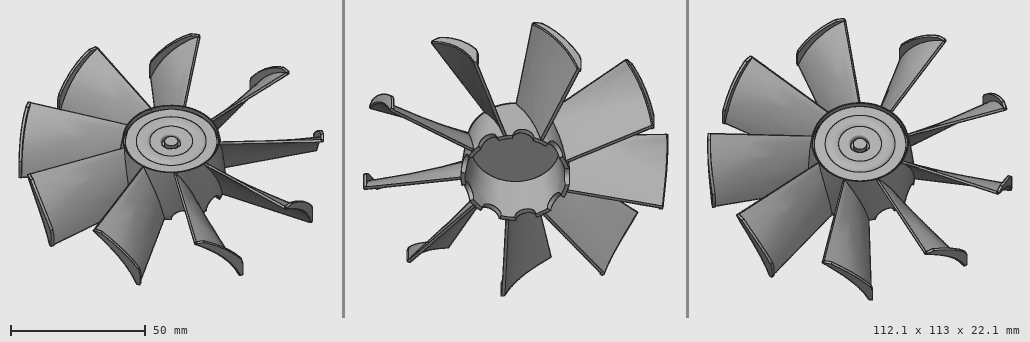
import cadquery as cq

HEIGHT = 22.05
TIP_RADIUS = 56.5
BLADE_COUNT = 9
BLADE_PITCH = 360 / BLADE_COUNT

HUB_TOP_RADIUS = 17.95
HUB_BOTTOM_RADIUS = 20.2
HUB_BAND_HEIGHT = 1.85
HUB_BULGE = 0.25
WALL = 1.5
CAP_RADIUS = 17.0
CAP_RECESS = 1.1
CAP_THICKNESS = 2.5
RIM_RADIUS = 17.65
GROOVE_DEPTH = 1.0
CAP_Z = HEIGHT - CAP_RECESS
CAP_UNDER_Z = CAP_Z - CAP_THICKNESS

RING_INNER_RADIUS = 7.95
RING_OUTER_RADIUS = 12.95
RING_HEIGHT = 0.9
WELL_RADIUS = 3.5
WELL_DEPTH = 2.0
WELL_FILLET = 1.0
PIN_RADIUS = 2.5

NOTCH_RADIUS = 3.9
NOTCH_ANGLE = 32.7
NOTCH_INNER = 10.0

BLADE_BOTTOM = 0.35
BLADE_MID = 11.1
EDGE_BOTTOM = 21.4
ROOT_X = 18.5
TIP_X = 56.0
BLADE_START_X = 14.0
BLADE_END_X = 58.0
LOWER_FACE_Y = ((3.8, 8.0), (0.55, 2.1), (-4.9, -9.4))
UPPER_FACE_Y = ((4.9, 9.2), (1.85, 3.4), (-4.3, -8.7))

WINGLET_THICKNESS = 1.05
TIP_CHAMFER = 0.4
WINGLET_SIDE_Y = 9.4
WINGLET_SIDE_TOP = 6.0
WINGLET_SHOULDER = (8.9, 8.2)
WINGLET_CROWN = (2.3, 16.2)
WINGLET_TOP_Y = -5.8


def make_hub():
    """Flared hollow shell closed by a recessed cap near the top."""
    bulge_radius = (HUB_TOP_RADIUS + HUB_BOTTOM_RADIUS) / 2 + HUB_BULGE
    bulge_z = (HEIGHT + HUB_BAND_HEIGHT) / 2
    ring_mid_radius = (RING_INNER_RADIUS + RING_OUTER_RADIUS) / 2
    return (
        cq.Workplane("XZ")
        .moveTo(HUB_BOTTOM_RADIUS - WALL, 0)
        .lineTo(HUB_BOTTOM_RADIUS, 0)
        .lineTo(HUB_BOTTOM_RADIUS, HUB_BAND_HEIGHT)
        .threePointArc((bulge_radius, bulge_z), (HUB_TOP_RADIUS, HEIGHT))
        .lineTo(RIM_RADIUS, HEIGHT)
        .lineTo(RIM_RADIUS, CAP_Z - GROOVE_DEPTH)
        .lineTo(CAP_RADIUS, CAP_Z - GROOVE_DEPTH)
        .lineTo(CAP_RADIUS, CAP_Z)
        .lineTo(RING_OUTER_RADIUS, CAP_Z)
        .threePointArc((ring_mid_radius, CAP_Z + RING_HEIGHT), (RING_INNER_RADIUS, CAP_Z))
        .lineTo(WELL_RADIUS + WELL_FILLET, CAP_Z)
        .radiusArc((WELL_RADIUS, CAP_Z - WELL_FILLET), -WELL_FILLET)
        .lineTo(WELL_RADIUS, CAP_Z - WELL_DEPTH)
        .lineTo(PIN_RADIUS, CAP_Z - WELL_DEPTH)
        .lineTo(PIN_RADIUS, CAP_Z)
        .lineTo(0, CAP_Z)
        .lineTo(0, CAP_UNDER_Z)
        .lineTo(HUB_TOP_RADIUS - WALL, CAP_UNDER_Z)
        .close()
        .revolve(360, (0, 0, 0), (0, 1, 0))
    )


def make_notch(angle):
    """Radial cutter with a half-round top, centred on the bottom edge of the hub."""
    length = HUB_BOTTOM_RADIUS - NOTCH_INNER + WALL
    cutter = (
        cq.Workplane("YZ", origin=(NOTCH_INNER, 0, 0))
        .moveTo(-NOTCH_RADIUS, -NOTCH_RADIUS)
        .lineTo(-NOTCH_RADIUS, 0)
        .threePointArc((0, NOTCH_RADIUS), (NOTCH_RADIUS, 0))
        .lineTo(NOTCH_RADIUS, -NOTCH_RADIUS)
        .close()
        .extrude(length)
    )
    return cutter.rotate((0, 0, 0), (0, 0, 1), angle)


def face_points(face, x, top_z):
    """Bottom, middle and top points of a blade face at distance x from the axis."""
    along = (x - ROOT_X) / (TIP_X - ROOT_X)
    heights = (BLADE_BOTTOM, BLADE_MID, top_z)
    return [(root + (tip - root) * along, z) for (root, tip), z in zip(face, heights)]


def blade_section(x):
    """Curved blade outline in the Y-Z plane at distance x from the axis."""
    low_bottom, low_mid, low_top = face_points(LOWER_FACE_Y, x, EDGE_BOTTOM)
    up_bottom, up_mid, up_top = face_points(UPPER_FACE_Y, x, HEIGHT)
    return (
        cq.Workplane("YZ", origin=(x, 0, 0))
        .moveTo(*low_bottom)
        .threePointArc(low_mid, low_top)
        .lineTo(*up_top)
        .threePointArc(up_mid, up_bottom)
        .close()
        .val()
    )


def blade_zone():
    """Space from inside the hub wall out to the tip circle."""
    bottom_radius = HUB_BOTTOM_RADIUS - WALL / 2
    top_radius = (HUB_TOP_RADIUS + RIM_RADIUS) / 2
    return (
        cq.Workplane("XZ")
        .polyline([(bottom_radius, 0), (TIP_RADIUS, 0), (TIP_RADIUS, HEIGHT), (top_radius, HEIGHT)])
        .close()
        .revolve(360, (0, 0, 0), (0, 1, 0))
    )


def make_winglet():
    """Thin curved plate that grows from inside the blade tip beyond its upper face."""
    lower = face_points(LOWER_FACE_Y, TIP_X, EDGE_BOTTOM)
    upper = face_points(UPPER_FACE_Y, TIP_X, HEIGHT)
    bottom, middle, top = [((y1 + y2) / 2, (z1 + z2) / 2) for (y1, z1), (y2, z2) in zip(lower, upper)]
    plate = (
        cq.Workplane("YZ", origin=(ROOT_X, 0, 0))
        .moveTo(*bottom)
        .threePointArc(middle, top)
        .lineTo(*upper[-1])
        .lineTo(WINGLET_TOP_Y, HEIGHT)
        .threePointArc(WINGLET_CROWN, WINGLET_SHOULDER)
        .lineTo(WINGLET_SIDE_Y, WINGLET_SIDE_TOP)
        .lineTo(WINGLET_SIDE_Y, BLADE_BOTTOM)
        .close()
        .extrude(BLADE_END_X - ROOT_X)
    )
    shell = cq.Workplane().circle(TIP_RADIUS).circle(TIP_RADIUS - WINGLET_THICKNESS).extrude(HEIGHT)
    return plate.intersect(shell)


def make_blade():
    """One blade, pointing along +X, with its winglet."""
    sections = [blade_section(BLADE_START_X), blade_section(BLADE_END_X)]
    body = cq.Workplane(cq.Solid.makeLoft(sections, True)).intersect(blade_zone())
    below_tip = (TIP_RADIUS, 0, BLADE_MID)
    body = body.edges(cq.selectors.NearestToPointSelector(below_tip)).chamfer(TIP_CHAMFER)
    return body.union(make_winglet())


hub = make_hub()
for index in range(BLADE_COUNT):
    hub = hub.cut(make_notch(NOTCH_ANGLE + index * BLADE_PITCH))

blade = make_blade()
result = hub
for index in range(BLADE_COUNT):
    result = result.union(blade.rotate((0, 0, 0), (0, 0, 1), index * BLADE_PITCH))